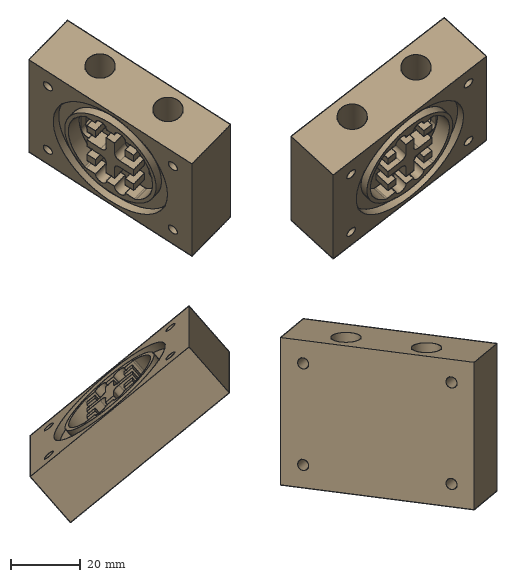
import cadquery as cq
import math

length = 60.0
thickness = 18.0
height = 45.0
front_y = -thickness / 2

mount_diameter = 3.35
mount_x = 23.0
mount_z = 15.5

groove_outer_diameter = 42.0
groove_inner_diameter = 33.6
groove_depth = 2.5

pocket_diameter = 30.95
pocket_half_height = 12.5
pocket_corner_radius = 1.0
pocket_depth = 5.05
notch_diameter = 4.0
notch_x = 3.5
notch_z = 12.6

post_pitch = 7.0
post_width = 3.1
cross_length = 2 * post_pitch + post_width
cross_fillet = 2.0

port_diameter = 8.7
port_x = 12.5
port_y = 2.0
port_depth = 30.0
port_tip_angle = 118.0
slot_width = 4.55
slot_height = 11.5


def face_sketch(depth=0.0):
    """Workplane parallel to the front face, set back by depth; local y is Z, normal is -Y."""
    return cq.Workplane("XZ", origin=(0, front_y + depth, 0))


def mirrored(x, z):
    """The four points mirrored about both center planes of the block."""
    return [(sx * x, sz * z) for sx in (-1, 1) for sz in (-1, 1)]


def mounting_holes():
    return (
        face_sketch()
        .pushPoints(mirrored(mount_x, mount_z))
        .circle(mount_diameter / 2)
        .extrude(-thickness)
    )


def seal_groove():
    return (
        face_sketch()
        .circle(groove_outer_diameter / 2)
        .circle(groove_inner_diameter / 2)
        .extrude(-groove_depth)
    )


def posts():
    pegs = (
        face_sketch()
        .pushPoints(mirrored(post_pitch, post_pitch))
        .rect(post_width, post_width)
        .extrude(-pocket_depth)
    )
    bar = face_sketch().rect(cross_length, post_width).extrude(-pocket_depth)
    upright = face_sketch().rect(post_width, cross_length).extrude(-pocket_depth)
    inner_corners = cq.selectors.BoxSelector(
        (-post_width, front_y, -post_width),
        (post_width, front_y + pocket_depth, post_width),
    )
    cross = bar.union(upright).edges("|Y").edges(inner_corners).fillet(cross_fillet)
    return cross.union(pegs)


def pocket():
    disc = face_sketch().circle(pocket_diameter / 2).extrude(-pocket_depth)
    flats = face_sketch().rect(pocket_diameter, 2 * pocket_half_height).extrude(-pocket_depth)
    notches = (
        face_sketch()
        .pushPoints(mirrored(notch_x, notch_z))
        .circle(notch_diameter / 2)
        .extrude(-pocket_depth)
    )
    outline = disc.intersect(flats).edges("|Y").edges(">Z or <Z").fillet(pocket_corner_radius)
    return outline.union(notches).cut(posts())


def port_slots():
    """Slots from the pocket floor to the port centerlines."""
    slot_depth = port_y - (front_y + pocket_depth)
    return (
        face_sketch(pocket_depth)
        .pushPoints([(-port_x, 0), (port_x, 0)])
        .slot2D(slot_height, slot_width, 90)
        .extrude(-slot_depth)
    )


def port_drill():
    """One drilled port, a cylinder ending in a cone."""
    radius = port_diameter / 2
    tip_depth = radius / math.tan(math.radians(port_tip_angle / 2))
    return (
        cq.Workplane("XZ")
        .polyline([(0, 0), (radius, 0), (radius, -port_depth), (0, -port_depth - tip_depth)])
        .close()
        .revolve(360, (0, 0), (0, 1))
        .translate((0, port_y, height / 2))
    )


result = cq.Workplane("XY").box(length, thickness, height)
for feature in (mounting_holes(), seal_groove(), pocket(), port_slots()):
    result = result.cut(feature)
for side in (-1, 1):
    result = result.cut(port_drill().translate((side * port_x, 0, 0)))